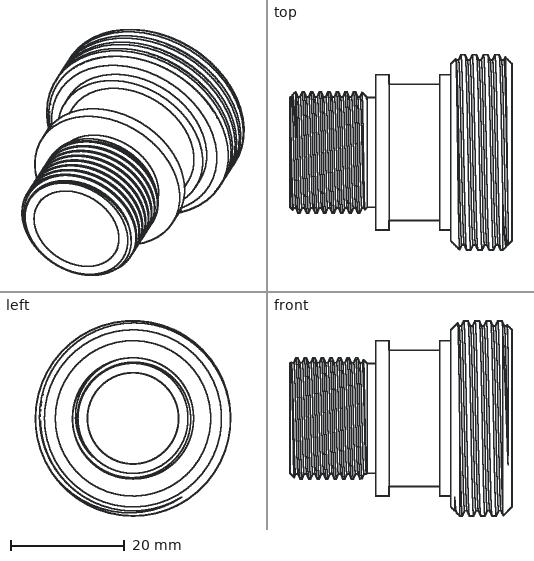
import cadquery as cq
import math

small_thread_end = 13.57
flange_start = 15.05
flange_end = 17.45
shoulder_start = 26.3
large_thread_start = 28.25
total_length = 39.0

bore_radius = 8.0
neck_radius = 9.67
small_root_radius = 9.8
small_crest_radius = 10.65
body_radius = 12.0
flange_radius = 13.65
large_end_radius = 15.55
large_root_radius = 16.25
large_crest_radius = 17.15

small_pitch = 1.5
small_crest_width = 0.35
small_root_width = 0.43
small_phase = 1.2
large_pitch = 2.0
large_crest_width = 0.75
large_root_width = 0.43
large_phase = 30.9

small_chamfer = small_crest_radius - neck_radius
large_chamfer = large_crest_radius - large_end_radius
cut_overshoot = 0.25


def cylinder(radius, start, end):
    """Cylinder along X between two stations."""
    return cq.Workplane("YZ", origin=(start, 0, 0)).circle(radius).extrude(end - start)


def groove_turn(root_radius, crest_radius, pitch, crest_width, root_width):
    """One right-hand turn of a trapezoidal groove, starting on the -Z side at X = 0."""
    flank_slope = (pitch - crest_width - root_width) / (2 * (crest_radius - root_radius))
    outer_radius = crest_radius + cut_overshoot
    half_root = root_width / 2
    half_mouth = half_root + flank_slope * (outer_radius - root_radius)

    path = cq.Wire.makeHelix(pitch, pitch, root_radius)
    groove = (
        cq.Workplane("XZ")
        .polyline([
            (root_radius, -half_root),
            (outer_radius, -half_mouth),
            (outer_radius, half_mouth),
            (root_radius, half_root),
        ])
        .close()
        .sweep(cq.Workplane(path), isFrenet=True)
    )
    return groove.rotate((0, 0, 0), (0, 1, 0), 90)


def threaded_length(start, end, chamfer, root_radius, crest_radius, pitch, crest_width, root_width, phase):
    """Chamfered cylinder with a thread cut turn by turn, running out past both ends."""
    thread = cylinder(crest_radius, start, end).edges().chamfer(chamfer)
    turn = groove_turn(root_radius, crest_radius, pitch, crest_width, root_width)
    first_turn = math.floor((start - phase) / pitch) - 1
    last_turn = math.ceil((end - phase) / pitch)
    for index in range(first_turn, last_turn + 1):
        thread = thread.cut(turn.translate((phase + index * pitch, 0, 0)))
    return thread


small_thread = threaded_length(
    0, small_thread_end, small_chamfer,
    small_root_radius, small_crest_radius,
    small_pitch, small_crest_width, small_root_width, small_phase,
)
large_thread = threaded_length(
    large_thread_start, total_length, large_chamfer,
    large_root_radius, large_crest_radius,
    large_pitch, large_crest_width, large_root_width, large_phase,
)

middle = (
    cylinder(neck_radius, small_thread_end, flange_start)
    .union(cylinder(flange_radius, flange_start, flange_end))
    .union(cylinder(body_radius, flange_end, shoulder_start))
    .union(cylinder(flange_radius, shoulder_start, large_thread_start))
)

bore = cylinder(bore_radius, 0, total_length)

result = middle.union(small_thread).union(large_thread).cut(bore)